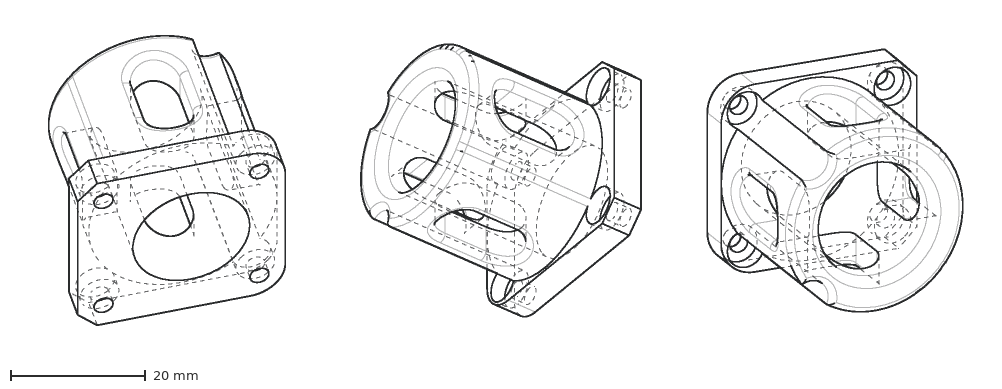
import cadquery as cq
import math

total_length = 28.75
flange_width = 32.0
flange_height = 30.0
flange_thickness = 5.0
barrel_length = total_length - flange_thickness
barrel_diameter = 29.0
bore_diameter = 18.0
bore_rim_radius = 1.5
edge_radius = 1.0

flange_y_max = barrel_diameter / 2
flange_y_min = flange_y_max - flange_width
corner_radius = 5.4
corner_chamfer = 3.0

hole_inset = 4.0
hole_diameter = 2.9
counterbore_diameter = 6.0
counterbore_depth = 2.5
hole_centers = [
    (y, z)
    for y in (flange_y_min + hole_inset, flange_y_max - hole_inset)
    for z in (hole_inset - flange_height / 2, flange_height / 2 - hole_inset)
]

slot_length = 14.98
slot_width = slot_length / 2
slot_center_x = barrel_length / 2


def make_flange():
    """Plate with two rounded corners on +Y and two chamfered ones on -Y."""
    plate = cq.Workplane("XY").box(
        flange_thickness, flange_width, flange_height, centered=(False, True, True)
    )
    plate = plate.translate((barrel_length, (flange_y_min + flange_y_max) / 2, 0))
    plate = plate.edges("|X and >Y").fillet(corner_radius)
    return plate.edges("|X and <Y").chamfer(corner_chamfer)


def cylinders_at_holes(diameter, start_x, length):
    """Cylinders along X, one on each screw axis."""
    plane = cq.Workplane("YZ", origin=(start_x, 0, 0))
    return plane.pushPoints(hole_centers).circle(diameter / 2).extrude(length)


def make_bore(start_x, length):
    """Cylinder of the main bore."""
    plane = cq.Workplane("YZ", origin=(start_x, 0, 0))
    return plane.circle(bore_diameter / 2).extrude(length)


def make_slot_cutter(angle):
    """Slot reaching from the axis out through the barrel wall."""
    cutter = cq.Workplane("XY").center(slot_center_x, 0).slot2D(slot_length, slot_width)
    return cutter.extrude(barrel_diameter).rotate((0, 0, 0), (1, 0, 0), angle)


def make_groove_cutter(y, z):
    """Screw clearance cylinder that flares out in a quarter round at the front face."""
    radius = counterbore_diameter / 2
    arc_offset = edge_radius * (1 - math.sqrt(0.5))
    profile = (
        cq.Workplane("XY")
        .lineTo(0, radius + edge_radius)
        .threePointArc((arc_offset, radius + arc_offset), (edge_radius, radius))
        .lineTo(barrel_length, radius)
        .lineTo(barrel_length, 0)
        .close()
    )
    return profile.revolve(360, (0, 0, 0), (1, 0, 0)).translate((0, y, z))


def make_barrel():
    """Bored barrel with rounded front edges, screw clearance grooves and four slots."""
    barrel = cq.Workplane("YZ").circle(barrel_diameter / 2).extrude(barrel_length)
    barrel = barrel.faces("<X").edges().fillet(edge_radius)
    barrel = barrel.cut(make_bore(0, barrel_length))
    bore_mouth = cq.selectors.RadiusNthSelector(0)
    barrel = barrel.faces("<X").edges(bore_mouth).fillet(bore_rim_radius)
    for y, z in hole_centers:
        barrel = barrel.cut(make_groove_cutter(y, z))
    for angle in (0, 90, 180, 270):
        barrel = barrel.cut(make_slot_cutter(angle))
    return barrel


def round_slot_rims(barrel):
    """Round the edges where the slots break through the outside of the barrel."""
    half_length = slot_length / 2 + edge_radius / 2
    half_width = slot_width / 2 + edge_radius / 2
    mid_wall = (bore_diameter + barrel_diameter) / 4
    for axis in ("Y", "Z"):
        for side in (-1, 1):
            radial = sorted((side * mid_wall, side * barrel_diameter))
            across = (-half_width, half_width)
            y_range, z_range = (radial, across) if axis == "Y" else (across, radial)
            window = cq.selectors.BoxSelector(
                (slot_center_x - half_length, y_range[0], z_range[0]),
                (slot_center_x + half_length, y_range[1], z_range[1]),
                boundingbox=True,
            )
            barrel = barrel.edges(window).fillet(edge_radius)
    return barrel


barrel = round_slot_rims(make_barrel())
flange = make_flange().cut(cylinders_at_holes(hole_diameter, barrel_length, flange_thickness))
flange = flange.cut(cylinders_at_holes(counterbore_diameter, barrel_length, counterbore_depth))
flange = flange.cut(make_bore(barrel_length, flange_thickness))
result = barrel.union(flange)